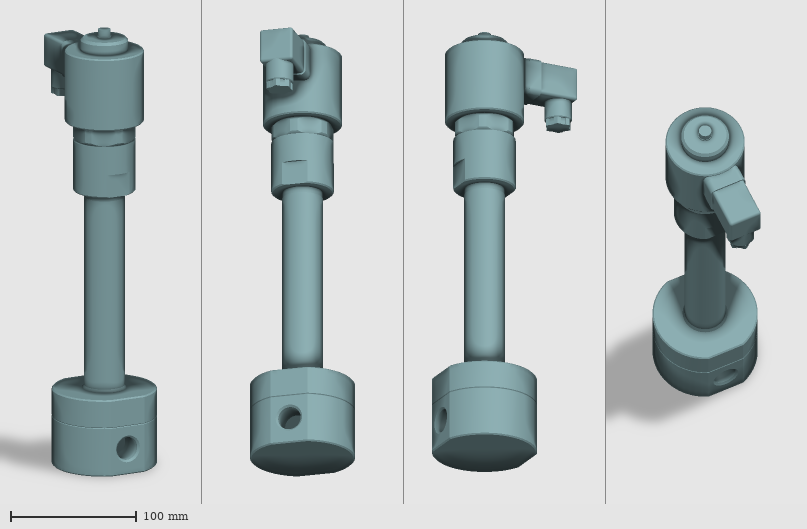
import cadquery as cq
import math

body_joint_z = 40.2
body_top_z = 63.0
weld_top_z = 65.3
tube_top_z = 220.5
sleeve_bottom_z = 225.5
wrench_flat_top_z = 244.5
nut_bottom_z = 267.5
coil_bottom_z = 282.7
coil_top_z = 342.0
cap_top_z = 352.0
pin_foot_top_z = 353.0
pin_top_z = 358.8

body_diameter = 84.0
weld_diameter = 36.0
tube_diameter = 32.5
neck_diameter = 32.0
sleeve_diameter = 50.0
coil_diameter = 63.0
cap_diameter = 38.0
cap_top_diameter = 34.0
pin_foot_diameter = 11.0
pin_diameter = 10.0

edge_chamfer = 1.0
joint_chamfer = 0.55

body_flat_distance = 39.0
port_z = 21.0
port_diameter = 18.5
port_mouth_diameter = 22.0
port_depth = 21.5

wrench_flat_width = 45.2
nut_across_flats = 46.0
nut_chamfer_height = 2.5
nut_chamfer_width = 2.33

cap_chamfer_height = 2.0

plug_end_x = -76.8
flange_outer_x = -43.5
flange_step_x = -33.0
plug_z = 325.0
plug_size = 27.3
plug_edge_radius = 2.0
flange_size = 30.0
flange_corner_radius = 4.3
flange_step_radius = 5.5
flange_root_x = -29.0

gland_diameter = 22.0
gland_x = plug_end_x + gland_diameter / 2
gland_bottom_z = 296.0
gland_chamfer = 0.7
gland_nut_bottom_z = 290.2
gland_nut_across_flats = gland_diameter * math.cos(math.pi / 6)
groove_width = 4.3
groove_depth = 0.55


def cylinder(diameter, bottom, top):
    """Solid cylinder on the valve axis between two heights."""
    return cq.Workplane("XY").workplane(offset=bottom).circle(diameter / 2).extrude(top - bottom)


def hexagon(across_flats, bottom, top):
    """Hexagonal prism on the Z axis with corners on the X axis."""
    across_corners = across_flats / math.cos(math.pi / 6)
    return cq.Workplane("XY").workplane(offset=bottom).polygon(6, across_corners).extrude(top - bottom)


def keep_between_x(solid, half_width, bottom, top):
    """Trim a round solid to two flats facing -X and +X."""
    height = top - bottom
    slab = cq.Workplane("XY").box(2 * half_width, body_diameter * 2, height, centered=(True, True, False))
    return solid.intersect(slab.translate((0, 0, bottom)))


def make_port():
    """Blind port with a countersunk mouth, cut from the -X flat."""
    countersink = (port_mouth_diameter - port_diameter) / 2
    profile = [
        (0, 0),
        (port_mouth_diameter / 2, 0),
        (port_diameter / 2, countersink),
        (port_diameter / 2, port_depth),
        (0, port_depth),
    ]
    port = cq.Workplane("XY").polyline(profile).close().revolve(360, (0, 0, 0), (0, 1, 0))
    return port.rotate((0, 0, 0), (0, 0, 1), -90).translate((-body_flat_distance, 0, port_z))


def make_body():
    lower = cylinder(body_diameter, 0, body_joint_z)
    upper = cylinder(body_diameter, body_joint_z, body_top_z)
    lower = keep_between_x(lower, body_flat_distance, 0, body_joint_z)
    upper = keep_between_x(upper, body_flat_distance, body_joint_z, body_top_z)
    lower = lower.faces("<Z").chamfer(edge_chamfer).faces(">Z").chamfer(joint_chamfer)
    upper = upper.faces(">Z").chamfer(edge_chamfer).faces("<Z").chamfer(joint_chamfer)
    port = make_port()
    return lower.union(upper).cut(port).cut(port.mirror("YZ"))


def make_tube():
    tube = cylinder(tube_diameter, body_top_z, tube_top_z)
    neck = cylinder(neck_diameter, tube_top_z, sleeve_bottom_z)
    weld_profile = [
        (0, body_top_z),
        (weld_diameter / 2, body_top_z),
        (tube_diameter / 2, weld_top_z),
        (0, weld_top_z),
    ]
    weld = cq.Workplane("XZ").polyline(weld_profile).close().revolve(360, (0, 0, 0), (0, 1, 0))
    return tube.union(neck).union(weld)


def make_sleeve():
    sleeve = cylinder(sleeve_diameter, sleeve_bottom_z, nut_bottom_z).faces("<Z").chamfer(edge_chamfer)
    flats = keep_between_x(sleeve, wrench_flat_width / 2, sleeve_bottom_z, wrench_flat_top_z)
    upper = cylinder(sleeve_diameter, wrench_flat_top_z, nut_bottom_z)
    return flats.union(upper)


def make_nut():
    envelope = cylinder(sleeve_diameter, nut_bottom_z, coil_bottom_z)
    envelope = envelope.faces("<Z or >Z").chamfer(nut_chamfer_height, nut_chamfer_width)
    return hexagon(nut_across_flats, nut_bottom_z, coil_bottom_z).intersect(envelope)


def make_coil():
    coil = cylinder(coil_diameter, coil_bottom_z, coil_top_z).faces("<Z or >Z").chamfer(edge_chamfer)
    cap = cylinder(cap_diameter, coil_top_z, cap_top_z)
    cap = cap.faces(">Z").chamfer(cap_chamfer_height, (cap_diameter - cap_top_diameter) / 2)
    pin = cylinder(pin_diameter, cap_top_z, pin_top_z)
    foot = cylinder(pin_foot_diameter, cap_top_z, pin_foot_top_z)
    return coil.union(cap).union(pin).union(foot)


def square_bar(size, start_x, end_x):
    """Square bar along X, centred on the plug height."""
    bar = cq.Workplane("XY").box(end_x - start_x, size, size, centered=(False, True, True))
    return bar.translate((start_x, 0, plug_z))


def make_plug():
    plug = square_bar(plug_size, plug_end_x, flange_outer_x)
    plug = plug.edges("|X or <X").fillet(plug_edge_radius)
    flange = square_bar(flange_size, flange_outer_x, flange_step_x)
    flange = flange.edges("|X").fillet(flange_corner_radius)
    root = square_bar(flange_size, flange_step_x, flange_root_x)
    root = root.edges("|X").fillet(flange_step_radius)
    return plug.union(flange).union(root)


def make_gland():
    gland = cylinder(gland_diameter, gland_bottom_z, plug_z).faces("<Z").chamfer(gland_chamfer)
    nut = hexagon(gland_nut_across_flats, gland_nut_bottom_z, gland_bottom_z)
    groove = cq.Workplane("XY").box(
        groove_width, 2 * groove_depth, gland_bottom_z - gland_nut_bottom_z, centered=(True, True, False))
    groove = groove.translate((0, -gland_nut_across_flats / 2, gland_nut_bottom_z))
    for side in range(6):
        nut = nut.cut(groove.rotate((0, 0, 0), (0, 0, 1), 60 * side))
    return gland.union(nut).translate((gland_x, 0, 0))


result = make_body()
for section in (make_tube(), make_sleeve(), make_nut(), make_coil(), make_plug(), make_gland()):
    result = result.union(section)